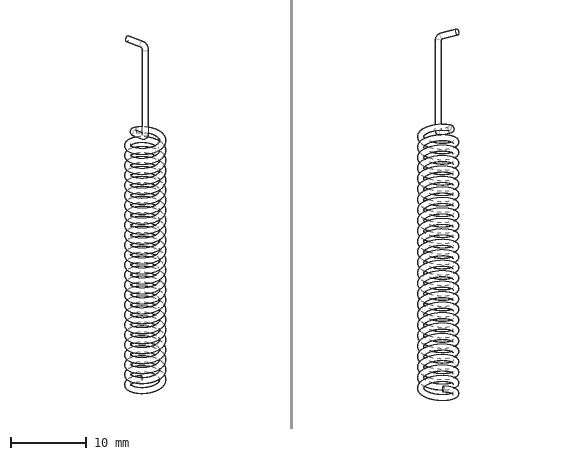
import cadquery as cq
import math

total_height = 52.2
wire_diameter = 0.85
coil_outer_diameter = 5.5
full_turns = 25
lead_in_angle = 22.0
arm_height = 38.0
arm_angle = 18.0
arm_bend_radius = 0.45
hook_bend_radius = 0.6
hook_length = 3.05

wire_radius = wire_diameter / 2
coil_radius = (coil_outer_diameter - wire_diameter) / 2
coil_bottom = wire_radius
coil_height = arm_height - coil_bottom
turns = full_turns + lead_in_angle / 360
pitch = coil_height / turns
hook_height = total_height - wire_radius


def make_coil():
    """Right-handed coil that finishes on the -X side at arm height."""
    helix = cq.Wire.makeHelix(pitch, coil_height, coil_radius)
    section = cq.Workplane("XZ").center(coil_radius, 0).circle(wire_radius)
    coil = section.sweep(cq.Workplane(obj=helix), isFrenet=True)
    start_angle = 180 - lead_in_angle
    return coil.rotate((0, 0, 0), (0, 0, 1), start_angle).translate((0, 0, coil_bottom))


def bend_points(before, corner, after, bend_radius):
    """Start, middle and end of the arc rounding a corner of the centreline."""
    to_before = (before - corner).normalized()
    to_after = (after - corner).normalized()
    half_angle = to_before.getAngle(to_after) / 2
    setback = bend_radius / math.tan(half_angle)
    middle_distance = bend_radius / math.sin(half_angle) - bend_radius
    bisector = (to_before + to_after).normalized()
    arc_start = corner + to_before * setback
    arc_middle = corner + bisector * middle_distance
    arc_end = corner + to_after * setback
    return arc_start, arc_middle, arc_end


def make_stem():
    """Arm from the coil to its axis, straight stem up the axis, and hook."""
    outward_x = -math.cos(math.radians(arm_angle))
    outward_y = -math.sin(math.radians(arm_angle))
    coil_end = cq.Vector(-coil_radius, 0, arm_height)
    arm_corner = cq.Vector(-coil_radius, -coil_radius * math.tan(math.radians(arm_angle)), arm_height)
    stem_foot = cq.Vector(0, 0, arm_height)
    stem_head = cq.Vector(0, 0, hook_height)
    hook_tip = cq.Vector(hook_length * outward_x, hook_length * outward_y, hook_height)

    corners = [coil_end, arm_corner, stem_foot, stem_head, hook_tip]
    bend_radii = [arm_bend_radius, arm_bend_radius, hook_bend_radius]
    edges = []
    position = coil_end
    for before, corner, after, bend_radius in zip(corners, corners[1:], corners[2:], bend_radii):
        arc_start, arc_middle, arc_end = bend_points(before, corner, after, bend_radius)
        edges.append(cq.Edge.makeLine(position, arc_start))
        edges.append(cq.Edge.makeThreePointArc(arc_start, arc_middle, arc_end))
        position = arc_end
    edges.append(cq.Edge.makeLine(position, hook_tip))

    centreline = cq.Workplane(obj=cq.Wire.assembleEdges(edges))
    section = cq.Workplane("XZ", origin=coil_end.toTuple()).circle(wire_radius)
    return section.sweep(centreline)


result = make_coil().union(make_stem())